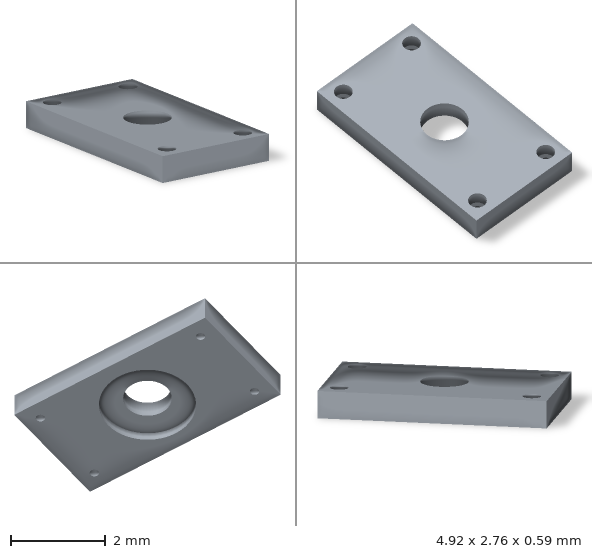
import cadquery as cq

length = 4.92
width = 2.76
thickness = 0.59

opening_diameter = 1.025
opening_wall_height = 0.395
recess_diameter = 2 * opening_diameter
recess_depth = thickness - opening_wall_height

hole_spacing_x = 4.135
hole_spacing_y = 1.97
hole_diameter = 0.195
counterbore_diameter = 2 * hole_diameter
counterbore_depth = thickness / 2


def make_plate():
    return cq.Workplane("XY").box(length, width, thickness, centered=(True, True, False))


def cut_opening(body):
    return body.faces(">Z").workplane(origin=(0, 0, thickness)).hole(opening_diameter)


def cut_underside_recess(body):
    recess = cq.Workplane("XY").circle(recess_diameter / 2).extrude(recess_depth)
    return body.cut(recess)


def cut_corner_holes(body):
    return (
        body.faces(">Z")
        .workplane(origin=(0, 0, thickness))
        .rarray(hole_spacing_x, hole_spacing_y, 2, 2)
        .cboreHole(hole_diameter, counterbore_diameter, counterbore_depth)
    )


plate = make_plate()
plate = cut_opening(plate)
plate = cut_underside_recess(plate)
result = cut_corner_holes(plate)